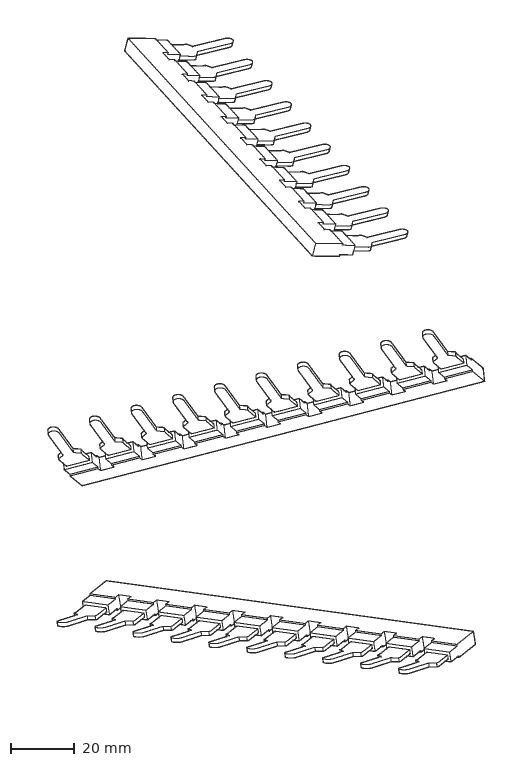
import cadquery as cq
import math

pin_count = 10
length = 138.0
block_width = 9.7
pitch = (length - block_width) / (pin_count - 1)

tilt = 15.0
body_thickness = 4.5
body_depth = 14.3
step_depth = 4.5
step_drop = 0.5
slot_depth = 6.5

metal_thickness = 1.4
shank_top = 1.7
shank_bottom = shank_top + metal_thickness
plate_width = 7.9
blade_width = 3.6
total_depth = 35.3
total_height = 8.1
shoulder_start = 21.0
shoulder_end = 22.2

sin_tilt = math.sin(math.radians(tilt))
cos_tilt = math.cos(math.radians(tilt))

rear_top_y = body_thickness * sin_tilt
rear_top_z = total_height


def tilted(forward, down):
    """Point (y, z) reached from the upper rear edge along the tilted body axes."""
    y = rear_top_y + forward * cos_tilt - down * sin_tilt
    z = rear_top_z - forward * sin_tilt - down * cos_tilt
    return y, z


def forward_of_blade_top(y):
    """Distance along the tilted body of the point at y on the blade's upper face."""
    return (y - rear_top_y) * cos_tilt + (rear_top_z - metal_thickness) * sin_tilt


def extrude_along_x(points, x_start, width):
    """Prism with the given (y, z) outline."""
    plane = cq.Workplane("YZ", origin=(x_start, 0, 0))
    return plane.polyline(points).close().extrude(width)


def make_bar():
    bar_depth = body_depth - slot_depth
    outline = [
        tilted(0, 0),
        tilted(bar_depth, 0),
        tilted(bar_depth, body_thickness),
        tilted(0, body_thickness),
    ]
    return extrude_along_x(outline, 0, length)


def make_block(x_center):
    """Body tooth whose front end is thinned on both faces."""
    step = body_depth - step_depth
    thin_bottom = body_thickness - step_drop
    outline = [
        tilted(0, 0),
        tilted(step, 0),
        tilted(step, step_drop),
        tilted(body_depth, step_drop),
        tilted(body_depth, thin_bottom),
        tilted(step, thin_bottom),
        tilted(step, body_thickness),
        tilted(0, body_thickness),
    ]
    return extrude_along_x(outline, x_center - block_width / 2, block_width)


def make_pin(x_center):
    """Bent sheet-metal pin: flat blade in front, tilted shank inside the body."""
    embed = body_depth / 2
    top_bend = (rear_top_z - shank_top * cos_tilt - metal_thickness) / sin_tilt
    bottom_bend = (rear_top_z - shank_bottom * cos_tilt) / sin_tilt
    profile = [
        tilted(embed, shank_top),
        tilted(top_bend, shank_top),
        (total_depth, metal_thickness),
        (total_depth, 0),
        tilted(bottom_bend, shank_bottom),
        tilted(embed, shank_bottom),
    ]
    sheet = extrude_along_x(profile, x_center - plate_width / 2, plate_width)

    half_plate = plate_width / 2
    half_blade = blade_width / 2
    tip = forward_of_blade_top(total_depth)
    tip_start = tip - half_blade
    shoulder_front = forward_of_blade_top(shoulder_end)
    shoulder_rear = forward_of_blade_top(shoulder_start)
    tilted_plane = cq.Plane(
        origin=(x_center, rear_top_y, rear_top_z),
        xDir=(1, 0, 0),
        normal=(0, sin_tilt, cos_tilt),
    )
    outline = (
        cq.Workplane(tilted_plane)
        .moveTo(-half_plate, 0)
        .lineTo(-half_plate, shoulder_rear)
        .lineTo(-half_blade, shoulder_front)
        .lineTo(-half_blade, tip_start)
        .threePointArc((0, tip), (half_blade, tip_start))
        .lineTo(half_blade, shoulder_front)
        .lineTo(half_plate, shoulder_rear)
        .lineTo(half_plate, 0)
        .close()
        .extrude(total_depth, both=True)
    )
    return sheet.intersect(outline)


result = make_bar()
for index in range(pin_count):
    x_center = block_width / 2 + index * pitch
    result = result.union(make_block(x_center)).union(make_pin(x_center))